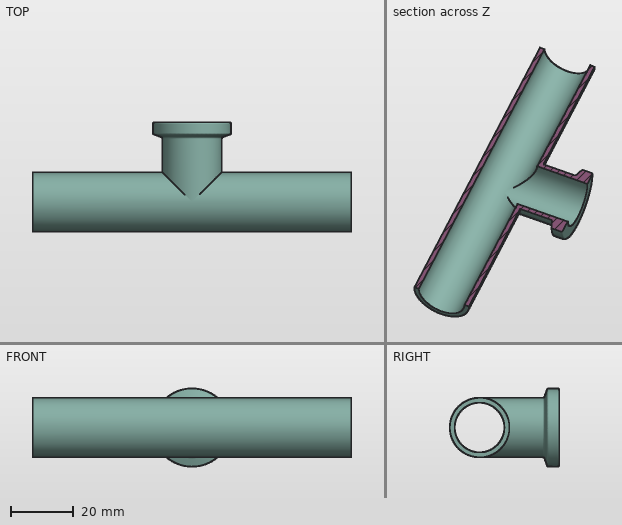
import cadquery as cq
import math

run_length = 101.6
tube_diameter = 19.05
bore_diameter = 15.75

branch_height = 25.4
flange_diameter = 24.99
flange_rim_width = 3.79
cone_angle = 20.0
rim_fillet = 0.6
neck_fillet = 0.5

tube_radius = tube_diameter / 2
bore_radius = bore_diameter / 2
flange_radius = flange_diameter / 2

cone_rim_y = branch_height - flange_rim_width
cone_drop = (flange_radius - tube_radius) * math.tan(math.radians(cone_angle))
cone_neck_y = cone_rim_y - cone_drop


def make_run():
    """Solid cylinder of the run, centred on the origin."""
    return cq.Workplane("YZ").circle(tube_radius).extrude(run_length / 2, both=True)


def make_branch():
    """Solid branch with its clamp flange, revolved about the Y axis."""
    profile = (
        cq.Workplane("XY")
        .lineTo(tube_radius, 0)
        .lineTo(tube_radius, cone_neck_y)
        .lineTo(flange_radius, cone_rim_y)
        .lineTo(flange_radius, branch_height)
        .lineTo(0, branch_height)
        .close()
    )
    branch = profile.revolve(360, (0, 0, 0), (0, 1, 0))
    branch = round_edge(branch, cone_neck_y, neck_fillet)
    branch = round_edge(branch, cone_rim_y, rim_fillet)
    return round_edge(branch, branch_height, rim_fillet)


def round_edge(body, edge_y, radius):
    """Fillet the circular edge of the branch that lies at height edge_y."""
    tolerance = 0.01
    reach = flange_diameter
    slab = cq.selectors.BoxSelector(
        (-reach, edge_y - tolerance, -reach),
        (reach, edge_y + tolerance, reach),
    )
    return body.edges("%CIRCLE").edges(slab).fillet(radius)


def make_bores():
    """Run bore and branch bore, meeting on the run axis."""
    run_bore = cq.Workplane("YZ").circle(bore_radius).extrude(run_length / 2, both=True)
    branch_bore = cq.Workplane("XZ").circle(bore_radius).extrude(-branch_height)
    return run_bore.union(branch_bore)


result = make_run().union(make_branch()).cut(make_bores())